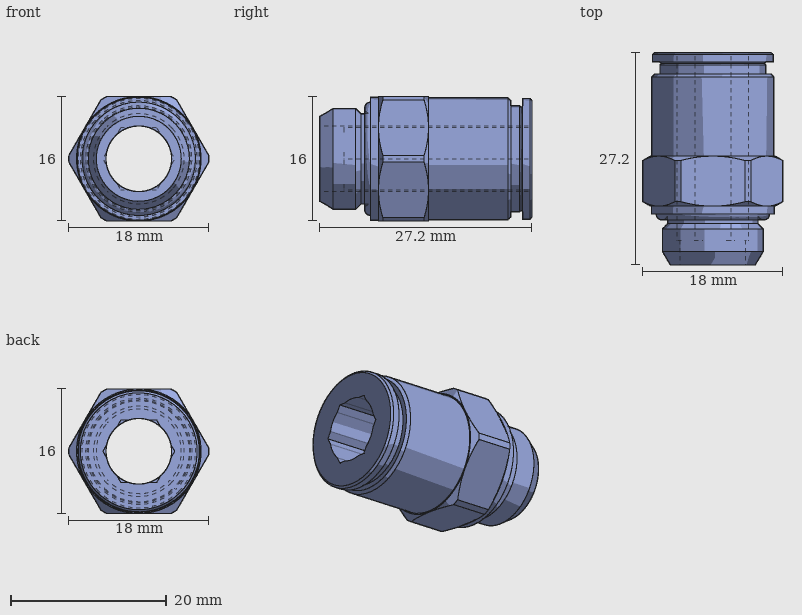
import cadquery as cq
import math

LENGTH = 27.25

TIP_RADIUS = 5.45
THREAD_RADIUS = 6.5
TIP_TAPER_END = 1.75
THREAD_END = 4.63
NECK_RADIUS = 5.8
NECK_START = THREAD_END + (THREAD_RADIUS - NECK_RADIUS)

SEAL_TUBE_RADIUS = 0.74
SEAL_CENTER_RADIUS = NECK_RADIUS + SEAL_TUBE_RADIUS
FLANGE_START = 6.52
SEAL_CENTER_Y = FLANGE_START
FLANGE_RADIUS = 7.9

HEX_START = 7.55
HEX_END = 13.98
HEX_FLATS = 16.0
HEX_CORNER_RADIUS = 9.0
HEX_BEVEL_ANGLE = 30.0
HEX_BEVEL_RADIUS = HEX_FLATS / 2
HEX_BEVEL_DEPTH = (HEX_CORNER_RADIUS - HEX_BEVEL_RADIUS) * math.tan(math.radians(HEX_BEVEL_ANGLE))

BODY_RADIUS = 7.85
BODY_END = 24.53
BODY_CHAMFER = 0.38

SLEEVE_RADIUS = 6.82
COLLAR_START = 26.05
SLEEVE_GROOVE_DEPTH = 0.2
COLLAR_RADIUS = 7.77
COLLAR_CHAMFER = 0.27

BORE_RADIUS = 4.2
SOCKET_FLATS = 8.0
SOCKET_START = 3.13


def revolve_profile(points):
    """Revolve a (radius, Y) outline about the Y axis."""
    return cq.Workplane("XY").polyline(points).close().revolve(360, (0, 0), (0, 1))


def hex_prism(flats, start, end):
    """Hexagonal prism along Y, with corners on the X axis."""
    corner_diameter = flats / math.cos(math.radians(30))
    plane = cq.Workplane("XZ", origin=(0, start, 0))
    return plane.polygon(6, corner_diameter).extrude(start - end)


def turned_body():
    return revolve_profile([
        (0, 0),
        (TIP_RADIUS, 0),
        (THREAD_RADIUS, TIP_TAPER_END),
        (THREAD_RADIUS, THREAD_END),
        (NECK_RADIUS, NECK_START),
        (NECK_RADIUS, FLANGE_START),
        (FLANGE_RADIUS, FLANGE_START),
        (FLANGE_RADIUS, HEX_START),
        (BODY_RADIUS, HEX_START),
        (BODY_RADIUS, BODY_END - BODY_CHAMFER),
        (BODY_RADIUS - BODY_CHAMFER, BODY_END),
        (SLEEVE_RADIUS, BODY_END),
        (SLEEVE_RADIUS, COLLAR_START - 2 * SLEEVE_GROOVE_DEPTH),
        (SLEEVE_RADIUS - SLEEVE_GROOVE_DEPTH, COLLAR_START - SLEEVE_GROOVE_DEPTH),
        (SLEEVE_RADIUS, COLLAR_START),
        (COLLAR_RADIUS, COLLAR_START),
        (COLLAR_RADIUS, LENGTH - COLLAR_CHAMFER),
        (COLLAR_RADIUS - COLLAR_CHAMFER, LENGTH),
        (0, LENGTH),
    ])


def seal_ring():
    circle = cq.Workplane("XY").center(SEAL_CENTER_RADIUS, SEAL_CENTER_Y).circle(SEAL_TUBE_RADIUS)
    return circle.revolve(360, (-SEAL_CENTER_RADIUS, 0), (-SEAL_CENTER_RADIUS, 1))


def beveled_nut():
    """Hexagon with turned corners and conical bevels on both faces."""
    envelope = revolve_profile([
        (0, HEX_START),
        (HEX_BEVEL_RADIUS, HEX_START),
        (HEX_CORNER_RADIUS, HEX_START + HEX_BEVEL_DEPTH),
        (HEX_CORNER_RADIUS, HEX_END - HEX_BEVEL_DEPTH),
        (HEX_BEVEL_RADIUS, HEX_END),
        (0, HEX_END),
    ])
    return hex_prism(HEX_FLATS, HEX_START, HEX_END).intersect(envelope)


def bore():
    return cq.Workplane("XZ").circle(BORE_RADIUS).extrude(-LENGTH)


result = turned_body().union(seal_ring()).union(beveled_nut())
result = result.cut(bore()).cut(hex_prism(SOCKET_FLATS, SOCKET_START, LENGTH))